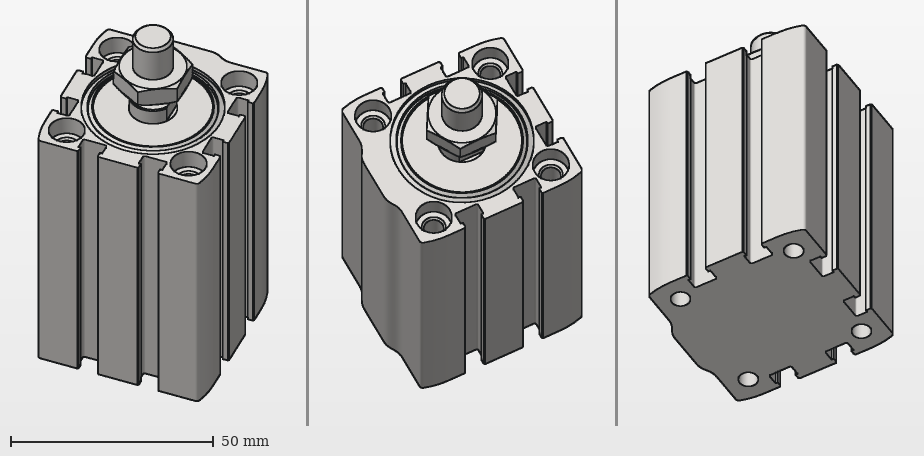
import cadquery as cq
import math


HOUSING_HEIGHT = 71.4
HOUSING_WIDTH = 45.0
HALF_WIDTH = HOUSING_WIDTH / 2
FLANK_HALF_LENGTH = 15.5
FLANK_RADIUS = 21.0
CORNER_RADIUS = 0.9
BUMP_HEIGHT = 2.0
BUMP_TOP_HALF_WIDTH = 5.1
BUMP_FOOT_HALF_WIDTH = 11.5

SLOT_OFFSET = 8.0
SLOT_THROAT_WIDTH = 5.1
SLOT_INNER_WIDTH = 6.3
SLOT_LIP = 1.6
SLOT_DEPTH = 4.7
SLOT_CORNER_RADIUS = 0.5
LIP_CHAMFER = 0.3

HOLE_OFFSET = 16.3
HOLE_DIAMETER = 4.9
HOLE_MOUTH_DIAMETER = 6.0
COUNTERBORE_DIAMETER = 9.0
COUNTERBORE_DEPTH = 5.0

RECESS_DIAMETER = 35.4
RECESS_DEPTH = 1.0
CREST_DIAMETER = 32.5
CREST_DEPTH = 0.2
VALLEY_DIAMETER = 32.0
VALLEY_DEPTH = 0.8
LIP_OUTER_DIAMETER = 30.1
LIP_INNER_DIAMETER = 29.5
DISC_DEPTH = 0.4
DISC_Z = HOUSING_HEIGHT - DISC_DEPTH

ROD_DIAMETER = 12.0
ROD_FLATS = 10.0
ROD_INSERTION = 12.0
SHOULDER_Z = 75.5
SHOULDER_CHAMFER = 0.3
NECK_DIAMETER = 8.1
NECK_LENGTH = 0.3
NECK_LOWER_RADIUS = 0.5
NECK_UPPER_RADIUS = 0.9
THREAD_DIAMETER = 10.0
ROD_END_Z = 94.5
ROD_END_CHAMFER = 0.85
ROD_END_DIAMETER = 8.7

NUT_FLATS = 17.0
NUT_BOTTOM_Z = 79.5
NUT_THICKNESS = 5.2
NUT_FACE_DIAMETER = 16.7
NUT_CHAMFER_ANGLE = 20.0
HEX_HALF_SECTOR = 30.0


def make_extrusion():
    """Solid housing extrusion: one half of the section, mirrored about the YZ plane."""
    flank_centre_x = HALF_WIDTH - FLANK_RADIUS
    corner_centre_y = HALF_WIDTH - CORNER_RADIUS
    flank_angle = math.asin((corner_centre_y - FLANK_HALF_LENGTH) / (FLANK_RADIUS - CORNER_RADIUS))
    corner_x = flank_centre_x + (FLANK_RADIUS - CORNER_RADIUS) * math.cos(flank_angle)
    flank_end_x = flank_centre_x + FLANK_RADIUS * math.cos(flank_angle)
    flank_end_y = FLANK_HALF_LENGTH + FLANK_RADIUS * math.sin(flank_angle)
    bump_top_y = HALF_WIDTH + BUMP_HEIGHT
    bump_mid_x = (BUMP_TOP_HALF_WIDTH + BUMP_FOOT_HALF_WIDTH) / 2
    bump_mid_y = HALF_WIDTH + BUMP_HEIGHT / 2
    half = (
        cq.Workplane("XY")
        .moveTo(0, -HALF_WIDTH)
        .lineTo(corner_x, -HALF_WIDTH)
        .tangentArcPoint((flank_end_x, -flank_end_y), relative=False)
        .tangentArcPoint((HALF_WIDTH, -FLANK_HALF_LENGTH), relative=False)
        .lineTo(HALF_WIDTH, FLANK_HALF_LENGTH)
        .tangentArcPoint((flank_end_x, flank_end_y), relative=False)
        .tangentArcPoint((corner_x, HALF_WIDTH), relative=False)
        .lineTo(BUMP_FOOT_HALF_WIDTH, HALF_WIDTH)
        .tangentArcPoint((bump_mid_x, bump_mid_y), relative=False)
        .tangentArcPoint((BUMP_TOP_HALF_WIDTH, bump_top_y), relative=False)
        .lineTo(0, bump_top_y)
        .close()
        .extrude(HOUSING_HEIGHT)
    )
    return half.union(half.mirror("YZ"))


def make_slot(side_angle, offset):
    """One T-slot cutter for the side found by turning the -Y side by side_angle."""
    inner = (
        cq.Workplane("XY", origin=(0, -HALF_WIDTH + (SLOT_LIP + SLOT_DEPTH) / 2, 0))
        .rect(SLOT_INNER_WIDTH, SLOT_DEPTH - SLOT_LIP)
        .extrude(HOUSING_HEIGHT)
        .edges("|Z and >Y")
        .fillet(SLOT_CORNER_RADIUS)
    )
    half_throat = SLOT_THROAT_WIDTH / 2
    throat_end_y = -HALF_WIDTH + SLOT_LIP
    throat = (
        cq.Workplane("XY")
        .polyline([
            (-half_throat - LIP_CHAMFER, -HALF_WIDTH),
            (half_throat + LIP_CHAMFER, -HALF_WIDTH),
            (half_throat, -HALF_WIDTH + LIP_CHAMFER),
            (half_throat, throat_end_y),
            (-half_throat, throat_end_y),
            (-half_throat, -HALF_WIDTH + LIP_CHAMFER),
        ])
        .close()
        .extrude(HOUSING_HEIGHT)
    )
    return inner.union(throat).translate((offset, 0, 0)).rotate((0, 0, 0), (0, 0, 1), side_angle)


def make_mounting_hole():
    """Cutter for a counterbored through hole with a conical mouth, on the Z axis."""
    floor_z = HOUSING_HEIGHT - COUNTERBORE_DEPTH
    mouth_depth = (HOLE_MOUTH_DIAMETER - HOLE_DIAMETER) / 2
    return (
        cq.Workplane("XZ")
        .polyline([
            (0, 0),
            (HOLE_DIAMETER / 2, 0),
            (HOLE_DIAMETER / 2, floor_z - mouth_depth),
            (HOLE_MOUTH_DIAMETER / 2, floor_z),
            (COUNTERBORE_DIAMETER / 2, floor_z),
            (COUNTERBORE_DIAMETER / 2, HOUSING_HEIGHT),
            (0, HOUSING_HEIGHT),
        ])
        .close()
        .revolve(360, (0, 0, 0), (0, 1, 0))
    )


def make_top_recess():
    """Cutter for the turned recess in the top face, centred on the rod axis."""
    return (
        cq.Workplane("XZ", origin=(0, 0, HOUSING_HEIGHT))
        .polyline([
            (RECESS_DIAMETER / 2, 0),
            (RECESS_DIAMETER / 2, -RECESS_DEPTH),
            (CREST_DIAMETER / 2, -CREST_DEPTH),
            (VALLEY_DIAMETER / 2, -VALLEY_DEPTH),
            (LIP_OUTER_DIAMETER / 2, 0),
        ])
        .close()
        .revolve(360, (0, 0, 0), (0, 1, 0))
    )


def make_housing():
    housing = make_extrusion()
    for side_angle in (-90, 0, 90):
        for offset in (-SLOT_OFFSET, SLOT_OFFSET):
            housing = housing.cut(make_slot(side_angle, offset))
    for x in (-HOLE_OFFSET, HOLE_OFFSET):
        for y in (-HOLE_OFFSET, HOLE_OFFSET):
            housing = housing.cut(make_mounting_hole().translate((x, y, 0)))
    disc_pocket = (
        cq.Workplane("XY", origin=(0, 0, DISC_Z))
        .circle(LIP_INNER_DIAMETER / 2)
        .extrude(DISC_DEPTH)
    )
    rod_hole = (
        cq.Workplane("XY", origin=(0, 0, DISC_Z - ROD_INSERTION))
        .circle(ROD_DIAMETER / 2)
        .extrude(ROD_INSERTION)
    )
    return housing.cut(make_top_recess()).cut(disc_pocket).cut(rod_hole)


def make_rod():
    rod_start_z = DISC_Z - ROD_INSERTION
    rod_radius = ROD_DIAMETER / 2
    neck_radius = NECK_DIAMETER / 2
    thread_radius = THREAD_DIAMETER / 2
    neck_start_z = SHOULDER_Z + NECK_LOWER_RADIUS
    neck_end_z = neck_start_z + NECK_LENGTH
    cone_radius = neck_radius + NECK_UPPER_RADIUS * (1 - math.sqrt(0.5))
    cone_start_z = neck_end_z + NECK_UPPER_RADIUS * math.sqrt(0.5)
    cone_end_z = cone_start_z + thread_radius - cone_radius
    rod = (
        cq.Workplane("XZ")
        .moveTo(0, rod_start_z)
        .lineTo(rod_radius, rod_start_z)
        .lineTo(rod_radius, SHOULDER_Z - SHOULDER_CHAMFER)
        .lineTo(rod_radius - SHOULDER_CHAMFER, SHOULDER_Z)
        .lineTo(neck_radius + NECK_LOWER_RADIUS, SHOULDER_Z)
        .tangentArcPoint((neck_radius, neck_start_z), relative=False)
        .lineTo(neck_radius, neck_end_z)
        .tangentArcPoint((cone_radius, cone_start_z), relative=False)
        .lineTo(thread_radius, cone_end_z)
        .lineTo(thread_radius, ROD_END_Z - ROD_END_CHAMFER)
        .lineTo(ROD_END_DIAMETER / 2, ROD_END_Z)
        .lineTo(0, ROD_END_Z)
        .close()
        .revolve(360, (0, 0, 0), (0, 1, 0))
    )
    flat_depth = (ROD_DIAMETER - ROD_FLATS) / 2
    for side in (-1, 1):
        flat = (
            cq.Workplane("XY", origin=(side * (ROD_FLATS + flat_depth) / 2, 0, DISC_Z))
            .rect(flat_depth, ROD_DIAMETER)
            .extrude(SHOULDER_Z - DISC_Z)
        )
        rod = rod.cut(flat)
    return rod


def make_nut():
    corner_diameter = NUT_FLATS / math.cos(math.radians(HEX_HALF_SECTOR))
    corner_run = (corner_diameter - NUT_FACE_DIAMETER) / 2
    corner_drop = corner_run * math.tan(math.radians(NUT_CHAMFER_ANGLE))
    nut = (
        cq.Workplane("XY", origin=(0, 0, NUT_BOTTOM_Z))
        .polygon(6, corner_diameter)
        .extrude(NUT_THICKNESS)
        .rotate((0, 0, 0), (0, 0, 1), HEX_HALF_SECTOR)
    )
    nut_top_z = NUT_BOTTOM_Z + NUT_THICKNESS
    blank = (
        cq.Workplane("XZ")
        .polyline([
            (0, NUT_BOTTOM_Z),
            (NUT_FACE_DIAMETER / 2, NUT_BOTTOM_Z),
            (corner_diameter / 2, NUT_BOTTOM_Z + corner_drop),
            (corner_diameter / 2, nut_top_z - corner_drop),
            (NUT_FACE_DIAMETER / 2, nut_top_z),
            (0, nut_top_z),
        ])
        .close()
        .revolve(360, (0, 0, 0), (0, 1, 0))
    )
    bore = (
        cq.Workplane("XY", origin=(0, 0, NUT_BOTTOM_Z))
        .circle(THREAD_DIAMETER / 2)
        .extrude(NUT_THICKNESS)
    )
    return nut.intersect(blank).cut(bore)


housing = make_housing().solids()
rod = make_rod().solids()
nut = make_nut().solids()

result = cq.Compound.makeCompound([housing.val(), rod.val(), nut.val()])